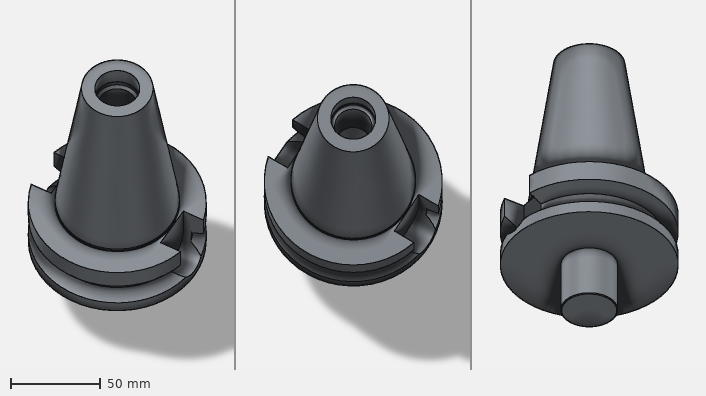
import cadquery as cq
import math

total_length = 171.8
nose_length = 32.0
flange_top = 67.0
gauge_plane = 70.0

nose_diameter = 32.0
nose_chamfer = 0.5

flange_diameter = 100.0
groove_core_diameter = 85.0
groove_lower_edge = 39.2
groove_core_bottom = 43.6
groove_core_top = 50.2
groove_upper_edge = groove_core_top + groove_core_bottom - groove_lower_edge

taper_ratio = 7 / 24
gauge_diameter = 70.0
neck_diameter = 69.4
taper_bottom = 69.2
neck_slope_height = 0.5
taper_start_diameter = gauge_diameter + taper_ratio * (gauge_plane - taper_bottom)
taper_end_diameter = gauge_diameter - taper_ratio * (total_length - gauge_plane)

slot_width = 25.8
slot_corner_radius = 12.5
slot_bottom = 36.0
slot_wall_offset = 35.4

pilot_diameter = 25.0
pilot_depth = 10.5
relief_diameter = 25.5
relief_length = 2.7
seat_angle = 135
bore_diameter = 21.0
hole_depth = 44.7
drill_point_angle = 135


def make_body():
    """Revolve the nose, flange, neck and taper as one profile."""
    nose_radius = nose_diameter / 2
    flange_radius = flange_diameter / 2
    core_radius = groove_core_diameter / 2
    taper_start_radius = taper_start_diameter / 2
    neck_radius = neck_diameter / 2
    profile = [
        (0, 0),
        (nose_radius - nose_chamfer, 0),
        (nose_radius, nose_chamfer),
        (nose_radius, nose_length),
        (flange_radius, nose_length),
        (flange_radius, groove_lower_edge),
        (core_radius, groove_core_bottom),
        (core_radius, groove_core_top),
        (flange_radius, groove_upper_edge),
        (flange_radius, flange_top),
        (taper_start_radius, flange_top),
        (neck_radius, flange_top + neck_slope_height),
        (neck_radius, taper_bottom - neck_slope_height),
        (taper_start_radius, taper_bottom),
        (taper_end_diameter / 2, total_length),
        (0, total_length),
    ]
    return cq.Workplane("XZ").polyline(profile).close().revolve(360, (0, 0, 0), (0, 1, 0))


def make_drive_slot(side):
    """Slot cutter with a narrow flat between two large bottom fillets; side is -1 or +1 along X."""
    slot_height = flange_top - slot_bottom
    return (
        cq.Workplane("YZ", origin=(side * slot_wall_offset, 0, slot_bottom + slot_height / 2))
        .rect(slot_width, slot_height)
        .extrude(side * flange_diameter / 2)
        .edges("|X and <Z")
        .fillet(slot_corner_radius)
    )


def make_end_hole():
    """Pilot bore, short relief, conical seat and narrower bore with a conical drill point."""
    pilot_radius = pilot_diameter / 2
    relief_radius = relief_diameter / 2
    bore_radius = bore_diameter / 2
    pilot_bottom = total_length - pilot_depth
    relief_bottom = pilot_bottom - relief_length
    seat_height = (relief_radius - bore_radius) / math.tan(math.radians(seat_angle / 2))
    hole_bottom = total_length - hole_depth
    point_length = bore_radius / math.tan(math.radians(drill_point_angle / 2))
    profile = [
        (0, total_length),
        (pilot_radius, total_length),
        (pilot_radius, pilot_bottom),
        (relief_radius, pilot_bottom),
        (relief_radius, relief_bottom),
        (bore_radius, relief_bottom - seat_height),
        (bore_radius, hole_bottom),
        (0, hole_bottom - point_length),
    ]
    return cq.Workplane("XZ").polyline(profile).close().revolve(360, (0, 0, 0), (0, 1, 0))


result = make_body().cut(make_end_hole())
for side in (-1, 1):
    result = result.cut(make_drive_slot(side))